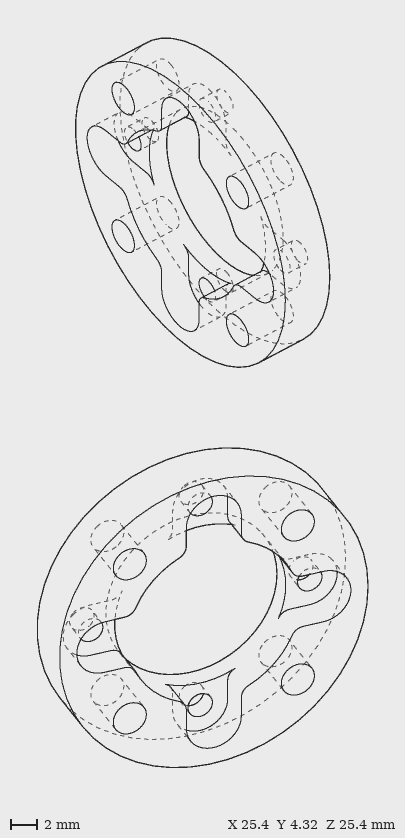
import cadquery as cq

outer_diameter = 25.4
thickness = 4.32
bore_diameter = 14.07

mount_hole_diameter = 2.72
mount_circle_radius = 9.78

pocket_width = 4.52
pocket_depth = 2.62
pocket_mouth_radius = 1.02
pocket_hole_diameter = 2.0
pocket_circle_radius = 9.01

pocket_count = 4
pocket_spacing = 360 / pocket_count


def face_plane():
    """Sketch plane on the -Y face; positive extrusion runs out of the part."""
    return cq.Workplane("XZ", origin=(0, -thickness / 2, 0))


def hole_pattern(circle_radius, diameter, start_angle):
    return (
        face_plane()
        .polarArray(circle_radius, start_angle, 360, pocket_count)
        .circle(diameter / 2)
        .extrude(-thickness)
    )


def pocket_cutter():
    """Pocket from the ring axis out to its round end, along +X."""
    channel = (
        face_plane()
        .center(pocket_circle_radius / 2, 0)
        .rect(pocket_circle_radius, pocket_width)
        .extrude(-pocket_depth)
    )
    round_end = (
        face_plane()
        .center(pocket_circle_radius, 0)
        .circle(pocket_width / 2)
        .extrude(-pocket_depth)
    )
    return channel.union(round_end)


def pocketed_layer():
    """Front layer of the ring, cut by the pockets and rounded at their mouths."""
    layer = face_plane().circle(outer_diameter / 2).circle(bore_diameter / 2).extrude(-pocket_depth)
    for index in range(pocket_count):
        layer = layer.cut(pocket_cutter().rotate((0, 0, 0), (0, 1, 0), index * pocket_spacing))
    reach = bore_diameter / 2 + 0.03
    near_axis = cq.selectors.BoxSelector(
        (-reach, -thickness, -reach), (reach, thickness, reach)
    )
    return layer.edges("|Y").edges(near_axis).fillet(pocket_mouth_radius)


back_layer = (
    face_plane()
    .workplane(offset=-pocket_depth)
    .circle(outer_diameter / 2)
    .circle(bore_diameter / 2)
    .extrude(pocket_depth - thickness)
)

result = (
    pocketed_layer()
    .union(back_layer)
    .cut(hole_pattern(mount_circle_radius, mount_hole_diameter, pocket_spacing / 2))
    .cut(hole_pattern(pocket_circle_radius, pocket_hole_diameter, 0))
)